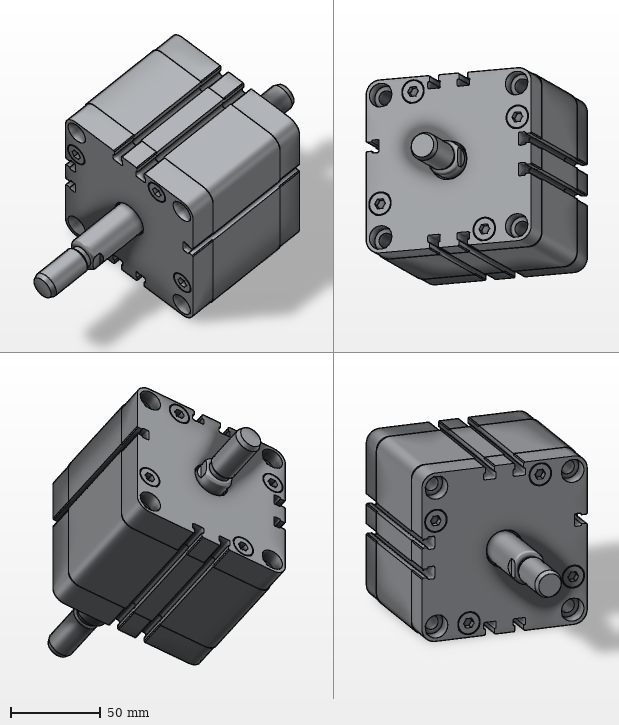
import cadquery as cq
import math


BODY_SIDE = 100.0
BODY_LENGTH = 86.0
CAP_LENGTH = 16.0
CAP_CORNER_RADIUS = 8.2
CAP_INSET = 0.2
CAP_SIDE = BODY_SIDE - 2 * CAP_INSET
TUBE_CORNER_RADIUS = 7.8
HALF_SIDE = BODY_SIDE / 2
HALF_LENGTH = BODY_LENGTH / 2
TUBE_LENGTH = BODY_LENGTH - 2 * CAP_LENGTH

SLOT_MOUTH_WIDTH = 5.3
SLOT_MOUTH_DEPTH = 3.4
SLOT_WIDTH = 7.5
SLOT_DEPTH = 7.7
SLOT_CORNER_RADIUS = 1.0
SLOT_LEAD_IN = 0.6
SLOT_OFFSET = 8.85
SINGLE_SLOT_OFFSET = 11.8

MOUNT_PITCH = 82.0
MOUNT_HOLE_DIAMETER = 8.38
MOUNT_BORE_DIAMETER = 13.5
MOUNT_BORE_DEPTH = 8.2

SCREW_ALONG = 21.5
SCREW_ACROSS = 41.4
SCREW_BORE_DIAMETER = 13.5
SCREW_HEAD_DIAMETER = 12.5
SCREW_HEAD_HEIGHT = 8.0
SOCKET_ACROSS_FLATS = 5.5
SOCKET_DEPTH = 4.0

ROD_DIAMETER = 20.0
FRONT_ROD_LENGTH = 70.0
REAR_ROD_LENGTH = 40.0
ROD_RECESS_DIAMETER = 22.0
ROD_RECESS_DEPTH = 2.0
ROD_EDGE_RADIUS = 2.0
THREAD_DIAMETER = 16.0
THREAD_END_LENGTH = 32.0
NECK_DIAMETER = 13.5
NECK_LENGTH = 2.75
THREAD_TIP_TAPER = 3.0
FLAT_WIDTH = 17.0
FLAT_LENGTH = 5.5


def square_prism(side, length, corner_radius):
    """Rounded square bar centred on the origin, along Y."""
    bar = cq.Workplane("XZ").rect(side, side).extrude(length / 2, both=True)
    return bar.edges("|Y").fillet(corner_radius)


def t_slot(length, surface):
    """T-slot cutter of the given length along Y, centred on the origin, open upwards at Z = surface."""
    mouth = cq.Workplane("XY").box(SLOT_MOUTH_WIDTH, length, SLOT_DEPTH, centered=(True, True, False))
    head_height = SLOT_DEPTH - SLOT_MOUTH_DEPTH
    head = cq.Workplane("XY").box(SLOT_WIDTH, length, head_height, centered=(True, True, False))
    head = head.edges("|Y").fillet(SLOT_CORNER_RADIUS)
    return head.union(mouth).translate((0, 0, surface - SLOT_DEPTH))


def cap_slot():
    """T-slot cutter for one end cap, with chamfered mouth edges, centred on the origin along Y."""
    half_mouth = SLOT_MOUTH_WIDTH / 2
    surface = CAP_SIDE / 2
    lead_in = (
        cq.Workplane("XZ")
        .moveTo(-half_mouth - SLOT_LEAD_IN, surface)
        .lineTo(half_mouth + SLOT_LEAD_IN, surface)
        .lineTo(half_mouth, surface - SLOT_LEAD_IN)
        .lineTo(-half_mouth, surface - SLOT_LEAD_IN)
        .close()
        .extrude(CAP_LENGTH / 2, both=True)
    )
    return t_slot(CAP_LENGTH, surface).union(lead_in)


def cut_slots(block, cutter):
    """Two slots on the top, bottom and -X faces, one on the +X face."""
    top, right, bottom, left = 0, 90, 180, 270
    places = [(right, -SINGLE_SLOT_OFFSET)]
    for face_angle in (top, bottom, left):
        places += [(face_angle, -SLOT_OFFSET), (face_angle, SLOT_OFFSET)]
    for face_angle, offset in places:
        block = block.cut(cutter.translate((offset, 0, 0)).rotate((0, 0, 0), (0, 1, 0), face_angle))
    return block


def front_bores(points, diameter, depth):
    """Cylinders reaching from the front face into the body."""
    plane = cq.Workplane("XZ", origin=(0, -HALF_LENGTH, 0))
    return plane.pushPoints(points).circle(diameter / 2).extrude(-depth)


def cap_recesses():
    """Everything sunk into the front face; the corner holes reach the middle of the body."""
    half_pitch = MOUNT_PITCH / 2
    corners = [(x, z) for x in (-half_pitch, half_pitch) for z in (-half_pitch, half_pitch)]
    screws = [
        (SCREW_ALONG, SCREW_ACROSS),
        (-SCREW_ACROSS, SCREW_ALONG),
        (-SCREW_ALONG, -SCREW_ACROSS),
        (SCREW_ACROSS, -SCREW_ALONG),
    ]
    socket_corner_diameter = SOCKET_ACROSS_FLATS / math.cos(math.pi / 6)
    sockets = (
        cq.Workplane("XZ", origin=(0, -HALF_LENGTH, 0))
        .pushPoints(screws)
        .polygon(6, socket_corner_diameter)
        .extrude(-SOCKET_DEPTH)
    )
    screw_gaps = front_bores(screws, SCREW_BORE_DIAMETER, SCREW_HEAD_HEIGHT).cut(
        front_bores(screws, SCREW_HEAD_DIAMETER, SCREW_HEAD_HEIGHT)
    )
    return [
        front_bores(corners, MOUNT_HOLE_DIAMETER, HALF_LENGTH),
        front_bores(corners, MOUNT_BORE_DIAMETER, MOUNT_BORE_DEPTH),
        screw_gaps,
        sockets,
        front_bores([(0, 0)], ROD_RECESS_DIAMETER, ROD_RECESS_DEPTH),
    ]


def make_body():
    cap = cut_slots(square_prism(CAP_SIDE, CAP_LENGTH, CAP_CORNER_RADIUS), cap_slot())
    tube = square_prism(BODY_SIDE, TUBE_LENGTH, TUBE_CORNER_RADIUS)
    tube = cut_slots(tube, t_slot(TUBE_LENGTH, HALF_SIDE))
    cap_shift = (BODY_LENGTH - CAP_LENGTH) / 2
    body = tube.union(cap.translate((0, -cap_shift, 0))).union(cap.translate((0, cap_shift, 0)))
    for recess in cap_recesses():
        body = body.cut(recess).cut(recess.mirror("XZ"))
    return body


def flat_cutter(shoulder):
    """Wrench flat on the +X side of a rod whose shoulder faces +Y; its inner end slopes at 45 degrees."""
    rod_radius = ROD_DIAMETER / 2
    half_flat = FLAT_WIDTH / 2
    slope = rod_radius - half_flat
    inner_end = shoulder - FLAT_LENGTH
    return (
        cq.Workplane("XY")
        .moveTo(half_flat, shoulder)
        .lineTo(half_flat, inner_end)
        .lineTo(rod_radius, inner_end - slope)
        .lineTo(rod_radius, shoulder)
        .close()
        .extrude(rod_radius, both=True)
    )


def half_rod(projection):
    """Rod from the middle of the body towards +Y, with flats, neck and threaded end."""
    tip = HALF_LENGTH + projection
    shoulder = tip - THREAD_END_LENGTH
    rod_radius = ROD_DIAMETER / 2
    thread_radius = THREAD_DIAMETER / 2
    neck_radius = NECK_DIAMETER / 2
    thread_step = thread_radius - neck_radius
    neck_end = shoulder + NECK_LENGTH
    edge_inset = ROD_EDGE_RADIUS * (1 - math.sqrt(0.5))
    rod = (
        cq.Workplane("XY")
        .lineTo(rod_radius, 0)
        .lineTo(rod_radius, shoulder - ROD_EDGE_RADIUS)
        .threePointArc(
            (rod_radius - edge_inset, shoulder - edge_inset), (rod_radius - ROD_EDGE_RADIUS, shoulder)
        )
        .lineTo(neck_radius, shoulder)
        .lineTo(neck_radius, neck_end)
        .lineTo(thread_radius, neck_end + thread_step)
        .lineTo(thread_radius, tip - THREAD_TIP_TAPER)
        .lineTo(neck_radius, tip)
        .lineTo(0, tip)
        .close()
        .revolve(360, (0, 0, 0), (0, 1, 0))
    )
    flat = flat_cutter(shoulder)
    return rod.cut(flat).cut(flat.mirror("YZ"))


rear_rod = half_rod(REAR_ROD_LENGTH)
front_rod = half_rod(FRONT_ROD_LENGTH).mirror("XZ")
result = make_body().union(rear_rod).union(front_rod)